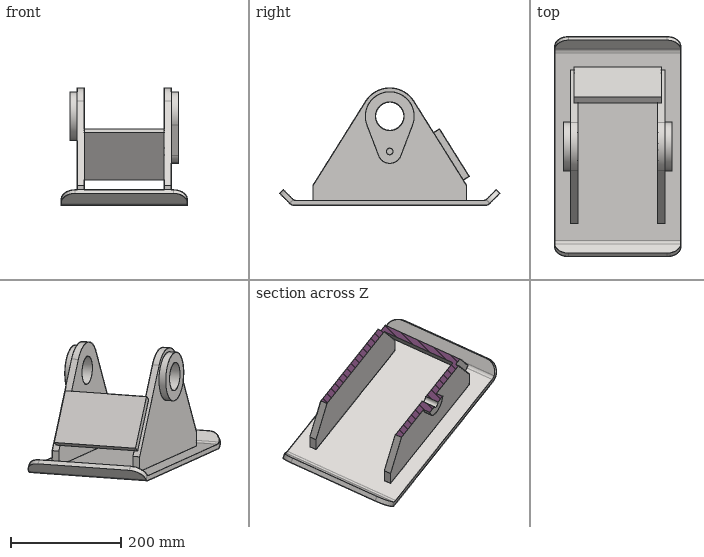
import cadquery as cq
import math

base_length = 398.5
base_width = 228.7
base_thickness = 9.0
lip_angle = 45.0
lip_rise = 22.0
bend_radius = 10.0
lip_corner_radius = 25.5

overall_height = 212.8
cheek_thickness = 13.0
cheek_gap = 144.2
cheek_half_length = 139.0
cheek_end_height = 27.0
eye_radius = 51.5
bore_radius = 25.5
boss_radius = 44.2
boss_thickness = 13.0

lobe_drop = 63.8
lobe_radius = 21.5
lobe_hole_radius = 6.0

cross_plate_width = 158.0
cross_plate_length = 101.5
cross_plate_thickness = 12.8
cross_plate_offset = 11.0

bore_z = overall_height - eye_radius
lobe_z = bore_z - lobe_drop
cheek_outer_x = cheek_gap / 2 + cheek_thickness
cheek_corner_z = base_thickness + cheek_end_height
corner_distance = math.hypot(cheek_half_length, bore_z - cheek_corner_z)
tangent_angle = (
    math.acos(eye_radius / corner_distance)
    - math.atan2(bore_z - cheek_corner_z, cheek_half_length)
)
normal_y = math.cos(tangent_angle)
normal_z = math.sin(tangent_angle)
tangent_y = eye_radius * normal_y
tangent_z = bore_z + eye_radius * normal_z


def yz_plane(x):
    """Sketch plane at the given X: local x is Y, local y is Z."""
    return cq.Workplane("YZ", origin=(x, 0, 0))


def lip_corner_cutter(side_x, side_y):
    """Waste outside the rounded corner, cut square to the sloping lip."""
    angle = math.radians(lip_angle)
    tip = (side_x * base_width / 2, side_y * base_length / 2, lip_rise)
    normal = (0, -side_y * math.sin(angle), math.cos(angle))
    plane = cq.Plane(origin=tip, xDir=(-side_x, 0, 0), normal=normal)
    direction = side_x * side_y
    radius = lip_corner_radius
    mid = radius * (1 - math.sqrt(0.5))
    return (
        cq.Workplane(plane)
        .moveTo(0, 0)
        .lineTo(radius, 0)
        .threePointArc((mid, direction * mid), (0, direction * radius))
        .close()
        .extrude(base_thickness)
    )


def make_base():
    angle = math.radians(lip_angle)
    end_y = base_length / 2
    bend_y = end_y - lip_rise / math.tan(angle)
    inner_bend_y = bend_y - base_thickness * math.tan(angle / 2)
    tip_y = end_y - base_thickness * math.sin(angle)
    tip_z = lip_rise + base_thickness * math.cos(angle)
    plate = (
        yz_plane(0)
        .polyline([
            (-bend_y, 0), (bend_y, 0), (end_y, lip_rise), (tip_y, tip_z),
            (inner_bend_y, base_thickness), (-inner_bend_y, base_thickness),
            (-tip_y, tip_z), (-end_y, lip_rise),
        ])
        .close()
        .extrude(base_width / 2, both=True)
    )
    for side in (-1, 1):
        inside_point = (0, side * inner_bend_y, base_thickness)
        outside_point = (0, side * bend_y, 0)
        for bend_point in (inside_point, outside_point):
            bend_edge = cq.selectors.NearestToPointSelector(bend_point)
            plate = plate.edges(bend_edge).fillet(bend_radius)
    for side_x in (-1, 1):
        for side_y in (-1, 1):
            plate = plate.cut(lip_corner_cutter(side_x, side_y))
    return plate


def make_cheek(start_x):
    return (
        yz_plane(start_x)
        .moveTo(-cheek_half_length, base_thickness)
        .lineTo(cheek_half_length, base_thickness)
        .lineTo(cheek_half_length, cheek_corner_z)
        .lineTo(tangent_y, tangent_z)
        .threePointArc((0, overall_height), (-tangent_y, tangent_z))
        .lineTo(-cheek_half_length, cheek_corner_z)
        .close()
        .extrude(cheek_thickness)
    )


def make_round_boss():
    return (
        yz_plane(-cheek_outer_x - boss_thickness)
        .center(0, bore_z)
        .circle(boss_radius)
        .extrude(boss_thickness)
    )


def make_lobed_boss():
    """Large round above a small one, joined by their common tangents."""
    sine = (boss_radius - lobe_radius) / lobe_drop
    cosine = math.sqrt(1 - sine ** 2)
    upper_y = boss_radius * cosine
    upper_z = bore_z - boss_radius * sine
    lower_y = lobe_radius * cosine
    lower_z = lobe_z - lobe_radius * sine
    return (
        yz_plane(cheek_outer_x)
        .moveTo(upper_y, upper_z)
        .threePointArc((0, bore_z + boss_radius), (-upper_y, upper_z))
        .lineTo(-lower_y, lower_z)
        .threePointArc((0, lobe_z - lobe_radius), (lower_y, lower_z))
        .close()
        .extrude(boss_thickness)
    )


def make_cross_plate():
    """Flat plate resting on the sloping +Y edges of both cheeks."""
    slope_plane = cq.Plane(
        origin=(0, cheek_half_length, cheek_corner_z),
        xDir=(0, -normal_z, normal_y),
        normal=(1, 0, 0),
    )
    return (
        cq.Workplane(slope_plane)
        .moveTo(cross_plate_offset, 0)
        .rect(cross_plate_length, -cross_plate_thickness, centered=False)
        .extrude(cross_plate_width / 2, both=True)
    )


def make_bracket():
    body = make_cheek(-cheek_outer_x)
    body = body.union(make_cross_plate())
    body = body.union(make_cheek(cheek_gap / 2))
    body = body.union(make_round_boss())
    body = body.union(make_lobed_boss())
    bore = (
        yz_plane(0)
        .center(0, bore_z)
        .circle(bore_radius)
        .extrude(base_width / 2, both=True)
    )
    lobe_hole = (
        yz_plane(0)
        .center(0, lobe_z)
        .circle(lobe_hole_radius)
        .extrude(base_width / 2)
    )
    return body.cut(bore).cut(lobe_hole)


base = make_base()
bracket = make_bracket()
result = cq.Compound.makeCompound([base.val(), *bracket.solids().vals()])